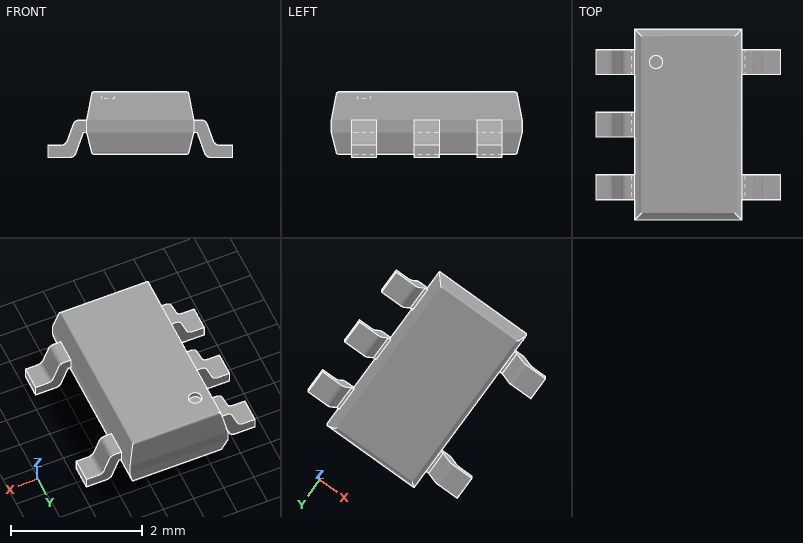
import cadquery as cq
import math

span_x = 2.8
top_z = 1.0

housing_x = 1.63
housing_y = 2.9
housing_bottom_z = 0.05
face_inset = 0.083
edge_radius = 0.04

lead_thickness = 0.19
lead_width = 0.38
lead_pitch = 0.95
lead_top_z = 0.57
foot_length = 0.4
lead_slope = 20
bend_radius = 0.1

belt_bottom_z = lead_top_z - lead_thickness

mark_diameter = 0.2
mark_depth = 0.1
mark_x = -0.49
mark_y = lead_pitch


def tapered_half(start_z, height):
    """Pyramid frustum from the belt outline; a negative height goes down."""
    taper = math.degrees(math.atan(face_inset / abs(height)))
    return (
        cq.Workplane("XY", origin=(0, 0, start_z))
        .rect(housing_x, housing_y)
        .extrude(height, taper=taper)
    )


def make_housing():
    belt = (
        cq.Workplane("XY", origin=(0, 0, belt_bottom_z))
        .rect(housing_x, housing_y)
        .extrude(lead_thickness)
    )
    upper = tapered_half(lead_top_z, top_z - lead_top_z)
    lower = tapered_half(belt_bottom_z, housing_bottom_z - belt_bottom_z)
    body = belt.union(upper).union(lower)
    body = body.faces(">Z or <Z").edges().fillet(edge_radius)
    mark = (
        cq.Workplane("XY", origin=(mark_x, mark_y, top_z))
        .circle(mark_diameter / 2)
        .extrude(-mark_depth)
    )
    return body.cut(mark).solids().val()


def make_lead(side, y):
    """Lead butted against the belt; side is +1 for the +X row, -1 for -X."""
    slope = math.radians(lead_slope)
    tip_x = span_x / 2
    root_x = housing_x / 2
    strip_run = lead_thickness / math.cos(slope)

    lower_heel_x = tip_x - foot_length
    lower_knee_x = lower_heel_x - belt_bottom_z * math.tan(slope)
    upper_knee_x = lower_knee_x + strip_run - lead_thickness * math.tan(slope)
    upper_heel_x = upper_knee_x + belt_bottom_z * math.tan(slope)

    outline = [
        (root_x, belt_bottom_z),
        (lower_knee_x, belt_bottom_z),
        (lower_heel_x, 0),
        (tip_x, 0),
        (tip_x, lead_thickness),
        (upper_heel_x, lead_thickness),
        (upper_knee_x, lead_top_z),
        (root_x, lead_top_z),
    ]
    rounded_corners = [
        (lower_heel_x, 0),
        (upper_heel_x, lead_thickness),
        (upper_knee_x, lead_top_z),
    ]
    lead = cq.Workplane("XZ").polyline(outline).close().extrude(lead_width / 2, both=True)
    for x, z in rounded_corners:
        corner = cq.selectors.NearestToPointSelector((x, 0, z))
        lead = lead.edges("|Y").edges(corner).fillet(bend_radius)
    if side < 0:
        lead = lead.mirror("YZ")
    return lead.translate((0, y, 0)).solids().val()


lead_places = [(-1, row * lead_pitch) for row in (-1, 0, 1)]
lead_places += [(1, row * lead_pitch) for row in (-1, 1)]

housing = make_housing()
leads = [make_lead(side, y) for side, y in lead_places]

result = cq.Compound.makeCompound([housing, *leads])